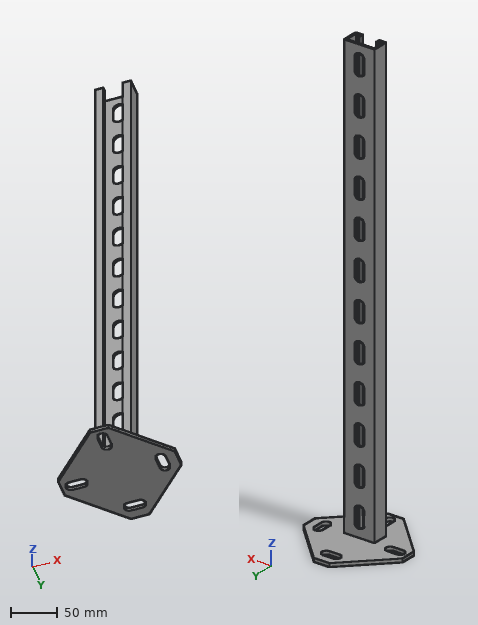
import cadquery as cq

plate_width = 134.5
corner_flat = 21.0
plate_thickness = 4.95
plate_slot_length = 25.0
plate_slot_width = 11.5
plate_slot_offset = 49.5
plate_slots = [
    (-1, 0, 0),
    (0, 1, 0),
    (1, 0, 90),
    (0, -1, 90),
]

total_height = 605.0
post_height = total_height - plate_thickness
post_width = 41.0
post_depth = 21.0
post_back_y = -1.0
post_wall = 2.0
mouth_width = 22.5
lip_depth = 6.0

post_slot_count = 12
post_slot_pitch = post_height / post_slot_count
post_slot_length = 28.0
post_slot_width = 13.5


def make_plate():
    half_width = plate_width / 2
    half_flat = corner_flat / 2
    outline = [
        (half_width, -half_flat),
        (half_width, half_flat),
        (half_flat, half_width),
        (-half_flat, half_width),
        (-half_width, half_flat),
        (-half_width, -half_flat),
        (-half_flat, -half_width),
        (half_flat, -half_width),
    ]
    plate = cq.Workplane("XY").polyline(outline).close().extrude(plate_thickness)
    for x_direction, y_direction, angle in plate_slots:
        slot = (
            cq.Workplane("XY")
            .center(x_direction * plate_slot_offset, y_direction * plate_slot_offset)
            .slot2D(plate_slot_length, plate_slot_width, angle)
            .extrude(plate_thickness)
        )
        plate = plate.cut(slot)
    return plate


def make_channel():
    half_width = post_width / 2
    half_mouth = mouth_width / 2
    right_half = [
        (0, 0),
        (half_width, 0),
        (half_width, -post_depth),
        (half_mouth, -post_depth),
        (half_mouth, -post_depth + lip_depth),
        (half_mouth + post_wall, -post_depth + lip_depth),
        (half_mouth + post_wall, -post_depth + post_wall),
        (half_width - post_wall, -post_depth + post_wall),
        (half_width - post_wall, -post_wall),
        (0, -post_wall),
    ]
    return (
        cq.Workplane("XY", origin=(0, post_back_y, plate_thickness))
        .polyline(right_half)
        .mirrorY()
        .extrude(post_height)
    )


def make_post():
    first_slot_height = plate_thickness + post_slot_pitch / 2
    slot_centres = [(0, first_slot_height + i * post_slot_pitch) for i in range(post_slot_count)]
    slots = (
        cq.Workplane("XZ", origin=(0, post_back_y, 0))
        .pushPoints(slot_centres)
        .slot2D(post_slot_length, post_slot_width, 90)
        .extrude(post_wall)
    )
    return make_channel().cut(slots)


plate = make_plate()
post = make_post()

result = cq.Compound.makeCompound([plate.val(), post.val()])